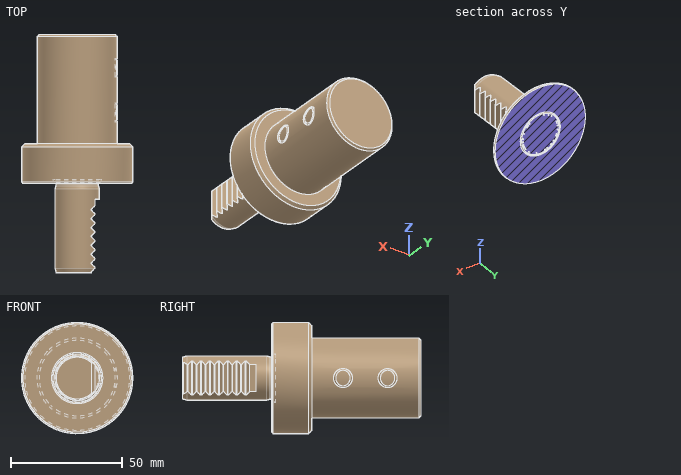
import cadquery as cq
import math


body_diameter = 36.0
body_length = 49.0
body_chamfer = 1.0
flange_diameter = 50.0
flange_thickness = 18.0
flange_rear_chamfer = 1.5
flange_seat_chamfer = 0.7

shank_diameter = 20.0
shank_length = 40.0
shank_tip_taper_length = 2.0
shank_tip_taper_depth = 0.6
neck_diameter = 19.1
neck_taper_end = 2.4
neck_taper_angle = 15.0
neck_blend_radius = 2.0

recess_diameter = 21.8
recess_mouth_chamfer = 0.6
recess_depth = 1.8
seal_cord_diameter = 1.7
seal_ring_radius = 10.0
seal_ring_depth = 1.0

flat_offset = 8.0
flat_start = 7.0
tooth_pitch = 4.0
tooth_depth = 1.6
root_width = 0.4
tooth_angle = 90.0
first_root = 11.7
tooth_count = 8

screw_diameter = 8.5
screw_crown_diameter = 6.37
screw_crown_height = (screw_diameter - screw_crown_diameter) / 2
screw_distances = (15.0, 35.0)

body_end = flange_thickness + body_length


def make_turned_body():
    """Revolve the half section of the holder about the Y axis."""
    body_radius = body_diameter / 2
    flange_radius = flange_diameter / 2
    shank_radius = shank_diameter / 2
    neck_radius = neck_diameter / 2
    recess_radius = recess_diameter / 2

    taper_angle = math.radians(neck_taper_angle)
    taper_length = (shank_radius - neck_radius) / math.tan(taper_angle)
    blend_tangent = neck_blend_radius * math.tan(taper_angle / 2)
    blend_end = taper_length - neck_taper_end + blend_tangent

    def blend_point(angle):
        radius = neck_radius + neck_blend_radius * (1 - math.cos(angle))
        return (radius, blend_end - neck_blend_radius * math.sin(angle))

    section = (
        cq.Workplane("XY")
        .moveTo(0, -shank_length)
        .lineTo(shank_radius - shank_tip_taper_depth, -shank_length)
        .lineTo(shank_radius, -shank_length + shank_tip_taper_length)
        .lineTo(shank_radius, -neck_taper_end)
        .lineTo(*blend_point(taper_angle))
        .threePointArc(blend_point(taper_angle / 2), blend_point(0))
        .lineTo(neck_radius, recess_depth)
        .lineTo(recess_radius, recess_depth)
        .lineTo(recess_radius, recess_mouth_chamfer)
        .lineTo(recess_radius + recess_mouth_chamfer, 0)
        .lineTo(flange_radius - flange_seat_chamfer, 0)
        .lineTo(flange_radius, flange_seat_chamfer)
        .lineTo(flange_radius, flange_thickness - flange_rear_chamfer)
        .lineTo(flange_radius - flange_rear_chamfer, flange_thickness)
        .lineTo(body_radius, flange_thickness)
        .lineTo(body_radius, body_end - body_chamfer)
        .lineTo(body_radius - body_chamfer, body_end)
        .lineTo(0, body_end)
        .close()
    )
    return section.revolve(360, (0, 0, 0), (0, 1, 0))


def make_seal_ring():
    """Round-section ring lying in the recess around the neck."""
    cord_radius = seal_cord_diameter / 2
    cord = cq.Workplane("XY").center(seal_ring_radius, seal_ring_depth).circle(cord_radius)
    return cord.revolve(360, (-seal_ring_radius, 0, 0), (-seal_ring_radius, 1, 0))


def make_flat_cutter():
    """Block that cuts the flat from its shoulder to the end of the shank."""
    length = shank_length - flat_start
    block = cq.Workplane("XY").box(shank_diameter, length, shank_diameter, centered=(False, False, True))
    return block.translate((flat_offset, -shank_length, 0))


def make_tooth_cutter(root_distance):
    """V-shaped prism with a narrow flat bottom that cuts one tooth gap."""
    half_root = root_width / 2
    half_mouth = half_root + tooth_depth * math.tan(math.radians(tooth_angle / 2))
    root_offset = flat_offset - tooth_depth
    gap_section = [
        (root_offset, -root_distance - half_root),
        (flat_offset, -root_distance - half_mouth),
        (flat_offset, -root_distance + half_mouth),
        (root_offset, -root_distance + half_root),
    ]
    return cq.Workplane("XY").polyline(gap_section).close().extrude(shank_diameter / 2, both=True)


def make_screw_gap(distance):
    """Ring-shaped gap between a screw hole and the chamfered crown of its screw."""
    crown_top = body_diameter / 2
    crown_base = crown_top - screw_crown_height
    hole_radius = screw_diameter / 2
    gap_section = [
        (screw_crown_diameter / 2, crown_top),
        (hole_radius, crown_base),
        (hole_radius, crown_top),
    ]
    ring = cq.Workplane("XY").polyline(gap_section).close().revolve(360, (0, 0, 0), (0, 1, 0))
    return ring.rotate((0, 0, 0), (0, 0, 1), -90).translate((0, body_end - distance, 0))


result = make_turned_body().union(make_seal_ring()).cut(make_flat_cutter())
for index in range(tooth_count):
    result = result.cut(make_tooth_cutter(first_root + index * tooth_pitch))
for distance in screw_distances:
    result = result.cut(make_screw_gap(distance))